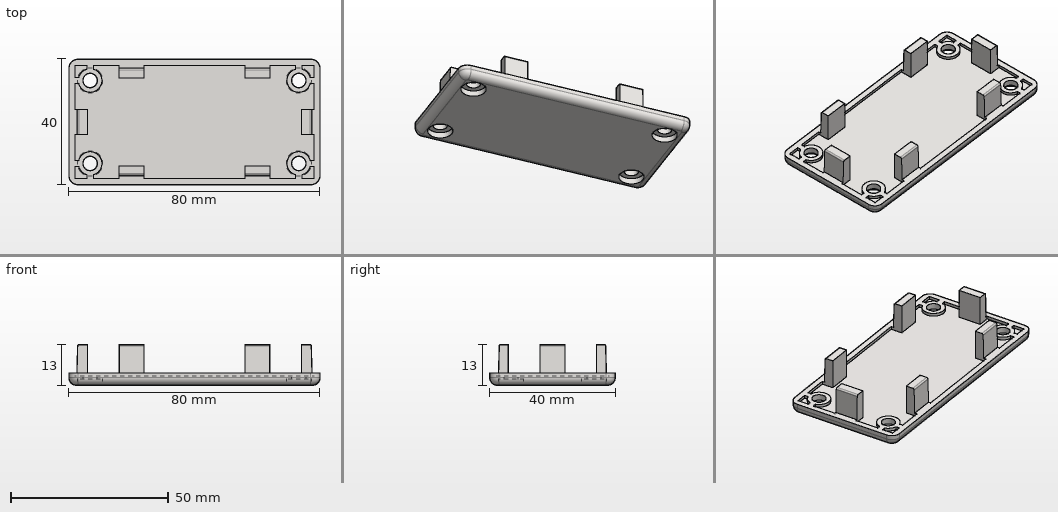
import cadquery as cq

LENGTH = 80.0
WIDTH = 40.0
PLATE_HEIGHT = 4.0
CORNER_RADIUS = 3.0
BOTTOM_EDGE_RADIUS = 2.5

RIM_WIDTH = 2.0
POCKET_DEPTH = 1.0
POCKET_LENGTH = LENGTH - 2 * RIM_WIDTH
POCKET_WIDTH = WIDTH - 2 * RIM_WIDTH
FLOOR_HEIGHT = PLATE_HEIGHT - POCKET_DEPTH

SCREW_INSET = 6.8
SCREW_X = LENGTH / 2 - SCREW_INSET
SCREW_Y = WIDTH / 2 - SCREW_INSET
BOSS_DIAMETER = 7.5
RIB_WIDTH = 2.0
HOLE_DIAMETER = 4.5
HEAD_DIAMETER = 8.0
HEAD_DEPTH = 2.0

TOTAL_HEIGHT = 13.0
TAB_WIDTH = 8.0
TAB_INNER_INSET = 6.0
SIDE_TAB_OUTER_INSET = 2.8
END_TAB_OUTER_INSET = 2.55
TAB_LEAN = 0.25
TAB_ROUNDING = 0.5
SIDE_TAB_X = 20.0


def make_plate():
    """Rounded plate with the shallow pocket inside its rim."""
    plate = cq.Workplane("XY").box(LENGTH, WIDTH, PLATE_HEIGHT, centered=(True, True, False))
    plate = plate.edges("|Z").fillet(CORNER_RADIUS)
    plate = plate.faces("<Z").edges().fillet(BOTTOM_EDGE_RADIUS)
    pocket = cq.Workplane("XY").workplane(offset=FLOOR_HEIGHT).rect(POCKET_LENGTH, POCKET_WIDTH)
    return plate.cut(pocket.extrude(POCKET_DEPTH))


def make_boss(x_side, y_side):
    """Boss centred on the Z axis, with a rib toward each of the two neighbouring rim walls."""
    rib_length = SCREW_INSET - RIM_WIDTH
    boss = cq.Workplane("XY").circle(BOSS_DIAMETER / 2).extrude(POCKET_DEPTH)
    x_rib = cq.Workplane("XY").center(x_side * rib_length / 2, 0).rect(rib_length, RIB_WIDTH)
    y_rib = cq.Workplane("XY").center(0, y_side * rib_length / 2).rect(RIB_WIDTH, rib_length)
    boss = boss.union(x_rib.extrude(POCKET_DEPTH))
    return boss.union(y_rib.extrude(POCKET_DEPTH))


def make_screw_hole():
    """Through hole with a screw head counterbore in the underside."""
    shank = cq.Workplane("XY").circle(HOLE_DIAMETER / 2).extrude(PLATE_HEIGHT)
    head = cq.Workplane("XY").circle(HEAD_DIAMETER / 2).extrude(HEAD_DEPTH)
    return shank.union(head)


def make_tab(outer_inset):
    """Tab for a plate edge at Y = 0, plate on the -Y side, with its foot joined to the rim.

    The outer face leans inward toward the top, where its edge is rounded.
    """
    profile = [
        (-RIM_WIDTH, FLOOR_HEIGHT),
        (-RIM_WIDTH, PLATE_HEIGHT),
        (-outer_inset, PLATE_HEIGHT),
        (-outer_inset - TAB_LEAN, TOTAL_HEIGHT),
        (-TAB_INNER_INSET, TOTAL_HEIGHT),
        (-TAB_INNER_INSET, FLOOR_HEIGHT),
    ]
    tab = cq.Workplane("YZ").polyline(profile).close().extrude(TAB_WIDTH / 2, both=True)
    return tab.faces(">Z").edges(">Y").fillet(TAB_ROUNDING)


def turn_about_z(body, angle):
    return body.rotate((0, 0, 0), (0, 0, 1), angle)


result = make_plate()

for x_side in (-1, 1):
    for y_side in (-1, 1):
        x = x_side * SCREW_X
        y = y_side * SCREW_Y
        result = result.union(make_boss(x_side, y_side).translate((x, y, FLOOR_HEIGHT)))
        result = result.cut(make_screw_hole().translate((x, y, 0)))

for half_turn in (0, 180):
    for x in (-SIDE_TAB_X, SIDE_TAB_X):
        side_tab = make_tab(SIDE_TAB_OUTER_INSET).translate((x, WIDTH / 2, 0))
        result = result.union(turn_about_z(side_tab, half_turn))
    end_tab = make_tab(END_TAB_OUTER_INSET).translate((0, LENGTH / 2, 0))
    result = result.union(turn_about_z(end_tab, half_turn + 90))